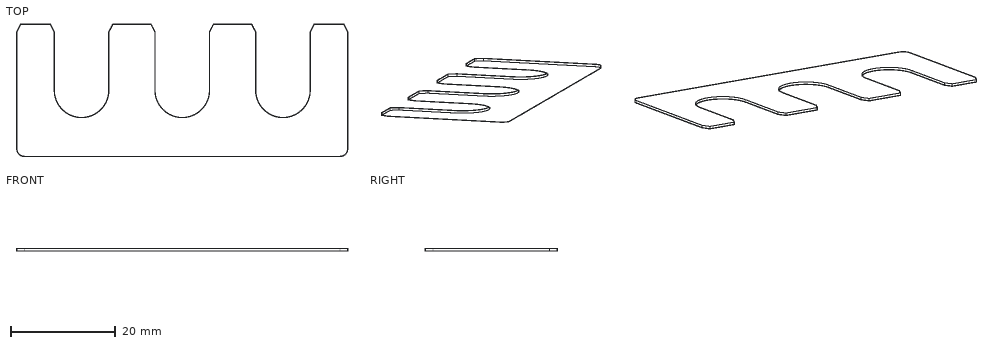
import cadquery as cq

length = 63.5
depth = 25.4
thickness = 0.5
corner_radius = 1.524

slot_count = 3
slot_pitch = 19.304
slot_width = 10.414
slot_end_y = 0.0

tip_chamfer_x = 0.78
tip_chamfer_y = 1.524

finger_tip_y = depth / 2
slot_centers = [(i - (slot_count - 1) / 2) * slot_pitch for i in range(slot_count)]


def make_plate():
    """Rectangular plate with rounded corners on the closed (-Y) side."""
    plate = cq.Workplane("XY").box(length, depth, thickness)
    return plate.edges("|Z and <Y").fillet(corner_radius)


def make_slot(center_x):
    """Round-ended slot cutter that flares out at the finger tips."""
    radius = slot_width / 2
    left = center_x - radius
    right = center_x + radius
    flare_y = finger_tip_y - tip_chamfer_y
    return (
        cq.Workplane("XY", origin=(0, 0, -thickness / 2))
        .moveTo(left - tip_chamfer_x, finger_tip_y)
        .lineTo(left, flare_y)
        .lineTo(left, slot_end_y)
        .threePointArc((center_x, slot_end_y - radius), (right, slot_end_y))
        .lineTo(right, flare_y)
        .lineTo(right + tip_chamfer_x, finger_tip_y)
        .close()
        .extrude(thickness)
    )


def make_outer_chamfer(side):
    """Triangular cutter for the outer tip corner; side is -1 for -X, +1 for +X."""
    edge_x = side * length / 2
    return (
        cq.Workplane("XY", origin=(0, 0, -thickness / 2))
        .moveTo(edge_x, finger_tip_y)
        .lineTo(edge_x - side * tip_chamfer_x, finger_tip_y)
        .lineTo(edge_x, finger_tip_y - tip_chamfer_y)
        .close()
        .extrude(thickness)
    )


result = make_plate()
for slot_x in slot_centers:
    result = result.cut(make_slot(slot_x))
for end_side in (-1, 1):
    result = result.cut(make_outer_chamfer(end_side))